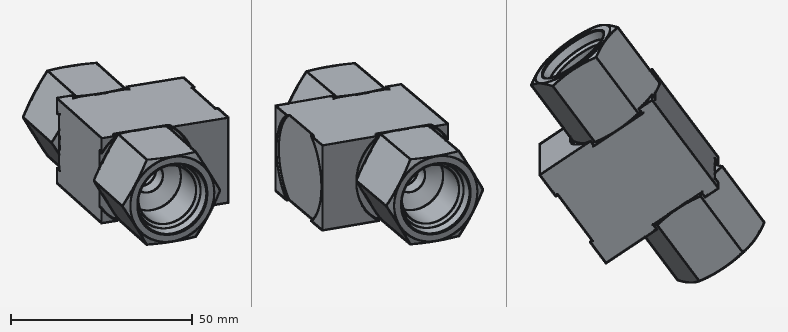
import cadquery as cq
import math

OVERALL_LENGTH = 71.6

BLOCK_LENGTH = 31.7
BLOCK_HEIGHT = 25.4
BLOCK_BACK_REACH = 25.35
BLOCK_FRONT_REACH = BLOCK_HEIGHT / 2
SPOTFACE_DIAMETER = 30.2
SIDE_SPOTFACE_DEPTH = 1.7
BACK_SPOTFACE_DEPTH = 0.7
FLOW_BORE_DIAMETER = 8.75

HEX_ACROSS_FLATS = BLOCK_HEIGHT
HEX_ACROSS_CORNERS = HEX_ACROSS_FLATS / math.cos(math.radians(30))
HEX_FACE_DIAMETER = 25.2
HEX_CHAMFER_ANGLE = 20.0
FITTING_INNER_X = BLOCK_LENGTH / 2 - SIDE_SPOTFACE_DEPTH
FITTING_OUTER_X = OVERALL_LENGTH / 2
FITTING_LENGTH = FITTING_OUTER_X - FITTING_INNER_X

MOUTH_DIAMETER = 21.05
MOUTH_CHAMFER = 0.2
SEAT_END_DIAMETER = 19.2
SEAT_END_DEPTH = 2.65
THREAD_BORE_DIAMETER = 17.3
THREAD_START_DEPTH = SEAT_END_DEPTH + (SEAT_END_DIAMETER - THREAD_BORE_DIAMETER) / 2
THREAD_END_DEPTH = 14.3
DRILL_POINT_ANGLE = 118.0


def make_block():
    """Tee block with a flow bore along X and a round spotface on three faces."""
    block = cq.Workplane("XY").box(
        BLOCK_LENGTH, BLOCK_FRONT_REACH + BLOCK_BACK_REACH, BLOCK_HEIGHT
    )
    block = block.translate((0, (BLOCK_BACK_REACH - BLOCK_FRONT_REACH) / 2, 0))

    flow_bore = cq.Workplane("YZ").circle(FLOW_BORE_DIAMETER / 2).extrude(BLOCK_LENGTH / 2, both=True)
    block = block.cut(flow_bore)

    side_spotface = (
        cq.Workplane("YZ")
        .workplane(offset=FITTING_INNER_X)
        .circle(SPOTFACE_DIAMETER / 2)
        .extrude(SIDE_SPOTFACE_DEPTH)
    )
    block = block.cut(side_spotface).cut(side_spotface.mirror("YZ"))

    back_spotface = (
        cq.Workplane("XZ")
        .workplane(offset=-BLOCK_BACK_REACH)
        .circle(SPOTFACE_DIAMETER / 2)
        .extrude(BACK_SPOTFACE_DEPTH)
    )
    return block.cut(back_spotface)


def revolve_about_x(points):
    """Solid of revolution about X from an outline of (x, radius) points."""
    return cq.Workplane("XY").polyline(points).close().revolve(360, (0, 0, 0), (1, 0, 0))


def make_hex():
    """Hexagonal bar on the +X side, with its corners chamfered at both ends."""
    hexagon = (
        cq.Workplane("YZ")
        .workplane(offset=FITTING_INNER_X)
        .polygon(6, HEX_ACROSS_CORNERS)
        .extrude(FITTING_LENGTH)
    )
    face_radius = HEX_FACE_DIAMETER / 2
    corner_radius = HEX_ACROSS_CORNERS / 2
    chamfer_length = (corner_radius - face_radius) * math.tan(math.radians(HEX_CHAMFER_ANGLE))
    chamfer_envelope = revolve_about_x([
        (FITTING_INNER_X, 0),
        (FITTING_INNER_X, face_radius),
        (FITTING_INNER_X + chamfer_length, corner_radius),
        (FITTING_OUTER_X - chamfer_length, corner_radius),
        (FITTING_OUTER_X, face_radius),
        (FITTING_OUTER_X, 0),
    ])
    return hexagon.intersect(chamfer_envelope)


def make_port_cavity():
    """Port cavity: mouth chamfer, conical seal seat, thread bore, drill point and flow bore."""
    flow_radius = FLOW_BORE_DIAMETER / 2
    thread_radius = THREAD_BORE_DIAMETER / 2
    mouth_radius = MOUTH_DIAMETER / 2
    drill_point_length = (thread_radius - flow_radius) / math.tan(math.radians(DRILL_POINT_ANGLE / 2))
    drill_start_x = FITTING_OUTER_X - THREAD_END_DEPTH
    return revolve_about_x([
        (FITTING_INNER_X, 0),
        (FITTING_INNER_X, flow_radius),
        (drill_start_x - drill_point_length, flow_radius),
        (drill_start_x, thread_radius),
        (FITTING_OUTER_X - THREAD_START_DEPTH, thread_radius),
        (FITTING_OUTER_X - SEAT_END_DEPTH, SEAT_END_DIAMETER / 2),
        (FITTING_OUTER_X - MOUTH_CHAMFER, mouth_radius - MOUTH_CHAMFER),
        (FITTING_OUTER_X, mouth_radius),
        (FITTING_OUTER_X, 0),
    ])


def make_fitting(turn):
    """Hexagonal end fitting, turned about Z from the +X side of the block."""
    fitting = make_hex().cut(make_port_cavity())
    return fitting.rotate((0, 0, 0), (0, 0, 1), turn)


block = make_block()
fittings = [make_fitting(turn) for turn in (0, 180)]

result = cq.Compound.makeCompound([block.val(), *[fitting.val() for fitting in fittings]])